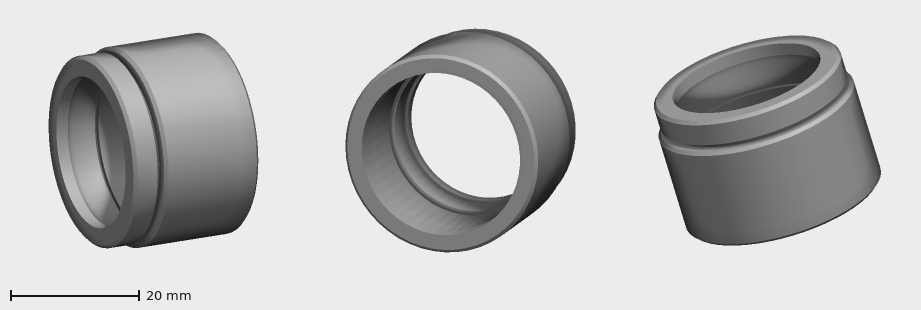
import cadquery as cq

length = 21.5
body_radius = 15.88
collar_radius = 15.2
neck_radius = 13.78
collar_length = 4.0
neck_length = 1.05
chamfer = 0.5

bore_step = 0.5
lip_radius = 12.0
seat_radius = lip_radius + bore_step
rear_radius = seat_radius + bore_step
ring_groove_depth = 0.75
ring_groove_radius = rear_radius + ring_groove_depth
lip_length = 2.0
seat_length = 5.0
ring_groove_width = 0.9

front_y = -length / 2
body_length = length - collar_length - neck_length


def cylinder(start_y, height, radius):
    """Solid cylinder on the Y axis, growing toward +Y from start_y."""
    base = cq.Workplane("XZ", origin=(0, start_y, 0))
    return base.circle(radius).extrude(-height)


collar = cylinder(front_y, collar_length, collar_radius).faces("<Y").chamfer(chamfer)
neck = cylinder(front_y, length, neck_radius)
body_start = front_y + collar_length + neck_length
body = cylinder(body_start, body_length, body_radius).faces("<Y or >Y").chamfer(chamfer)

seat_start = front_y + lip_length
groove_start = seat_start + seat_length
lip_bore = cylinder(front_y, length, lip_radius)
seat_bore = cylinder(seat_start, length - lip_length, seat_radius)
rear_bore = cylinder(groove_start, length - lip_length - seat_length, rear_radius)
ring_groove = cylinder(groove_start, ring_groove_width, ring_groove_radius)

result = neck.union(collar).union(body)
for cut_shape in (lip_bore, seat_bore, rear_bore, ring_groove):
    result = result.cut(cut_shape)